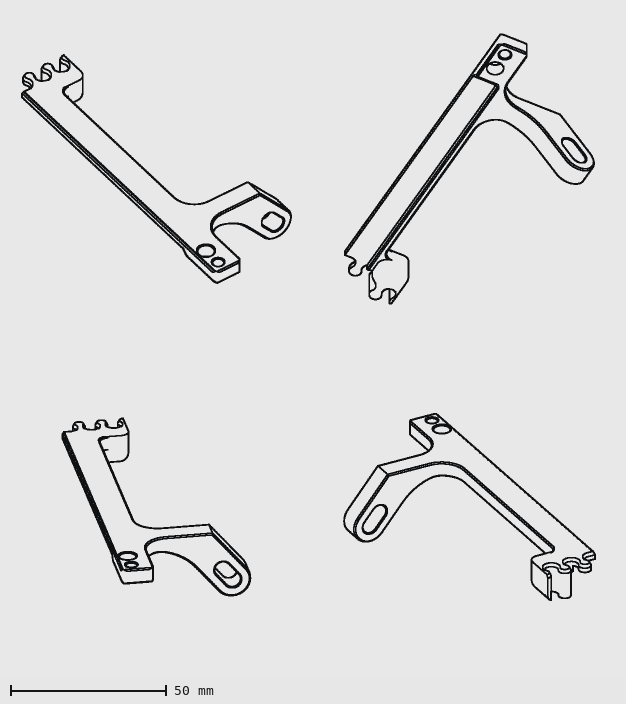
import cadquery as cq
import math

length = 112.6
plate_width = 10.5
plate_thickness = 5.1
edge_chamfer = 0.5
end_corner_radius = 2.0

head_back = 20.8
head_length = 13.2
head_corner_radius = 3.0
head_depth = 10.2
boss_front = 9.9
boss_round = 2.9
prong_radius = 2.0
prong_pitch = 7.3
prong_count = 3
notch_x = 4.3
lead_in_width = 0.6
lead_in_depth = 1.1

relief_depth = 2.7
relief_width = 8.3
relief_end = 94.0
relief_slope_run = plate_thickness - relief_depth

arm_left = 83.3
arm_width = 7.4
arm_root_radius = 7.9
arm_angle = math.radians(50)
arm_end_y = 40.1
arm_end_z = -16.9
arm_end_radius = 5.9
arm_under_radius = 18.6
slot_radius = 2.6
slot_travel = 5.1
slot_chamfer = 0.3

hole_y = 3.7
end_holes = [(102.1, 2.7), (108.7, 1.8)]
hole_chamfer = 0.3

tolerance = 0.01

arm_right = arm_left + arm_width
arm_reach = arm_end_y + arm_end_radius
arm_drop = arm_end_radius - arm_end_z
half_pitch = prong_pitch / 2
prong_y = [head_back - i * prong_pitch for i in range(prong_count)]
centre_distance = math.hypot(notch_x - prong_radius, half_pitch)
notch_radius = centre_distance - prong_radius
blend_x = prong_radius + (notch_x - prong_radius) * prong_radius / centre_distance
blend_dy = half_pitch * prong_radius / centre_distance
notch_right = notch_x + notch_radius
last_notch_y = prong_y[-1] - half_pitch


def point_on_circle(x, y, radius, angle):
    return (x + radius * math.cos(angle), y + radius * math.sin(angle))


def plan_outline():
    """Outline from above: plate, fork head with its prongs, and arm."""
    half_prong_middle = (math.atan2(-half_pitch, notch_x - prong_radius) - math.pi) / 2
    last_notch_middle = math.atan2(half_pitch, prong_radius - notch_x) / 2
    outline = (
        cq.Workplane("XY")
        .moveTo(prong_radius, head_back)
        .lineTo(0.0, head_back)
        .threePointArc(
            point_on_circle(prong_radius, head_back, prong_radius, half_prong_middle),
            (blend_x, head_back - blend_dy),
        )
    )
    for y in prong_y[1:]:
        outline = outline.threePointArc((notch_right, y + half_pitch), (blend_x, y + blend_dy))
        outline = outline.threePointArc((0.0, y), (blend_x, y - blend_dy))
    outline = outline.threePointArc(
        point_on_circle(notch_x, last_notch_y, notch_radius, last_notch_middle),
        (notch_right, last_notch_y),
    )
    return (
        outline.lineTo(notch_right, 0.0)
        .lineTo(length, 0.0)
        .lineTo(length, plate_width)
        .lineTo(arm_right, plate_width)
        .lineTo(arm_right, arm_reach)
        .lineTo(arm_left, arm_reach)
        .lineTo(arm_left, plate_width)
        .lineTo(head_length, plate_width)
        .lineTo(head_length, head_back)
        .close()
    )


def nearest(body, *points):
    """The edge of the body closest to each of the given points."""
    edges = []
    for point in points:
        edges += body.edges(cq.selectors.NearestToPointSelector(point)).objects
    return body.newObject(edges)


def plan_prism():
    """Plan outline as a tall prism with the arm and head corners rounded."""
    body = plan_outline().extrude(-arm_drop)
    for x, y, radius in [
        (arm_left, plate_width, arm_root_radius),
        (arm_right, plate_width, arm_root_radius),
        (head_length, plate_width, head_corner_radius),
        (head_length, head_back, head_corner_radius),
    ]:
        body = nearest(body, (x, y, -arm_drop / 2)).fillet(radius)
    return body


def side_prism():
    """Side profile: flat plate running into the arm that slopes down."""
    along_y, along_z = math.cos(arm_angle), -math.sin(arm_angle)
    top_y = arm_end_y + arm_end_radius * math.sin(arm_angle)
    top_z = arm_end_z + arm_end_radius * math.cos(arm_angle)
    low_y = arm_end_y - arm_end_radius * math.sin(arm_angle)
    low_z = arm_end_z - arm_end_radius * math.cos(arm_angle)
    bend_y = top_y + top_z / math.tan(arm_angle)
    under_y = low_y - (low_z + plate_thickness) / along_z * along_y
    tangent = arm_under_radius * math.tan(arm_angle / 2)
    arc_y = under_y - tangent
    arc_z = -plate_thickness - arm_under_radius
    return (
        cq.Workplane("YZ")
        .moveTo(0.0, 0.0)
        .lineTo(bend_y, 0.0)
        .lineTo(top_y, top_z)
        .threePointArc(
            point_on_circle(arm_end_y, arm_end_z, arm_end_radius, -arm_angle),
            (low_y, low_z),
        )
        .lineTo(under_y + tangent * along_y, -plate_thickness + tangent * along_z)
        .threePointArc(
            point_on_circle(arc_y, arc_z, arm_under_radius, (math.pi - arm_angle) / 2),
            (arc_y, -plate_thickness),
        )
        .lineTo(0.0, -plate_thickness)
        .close()
        .extrude(length)
    )


def relief():
    """Cutter for the relief under the front, with its inner slope corner bevelled."""
    cutter = (
        cq.Workplane("XZ")
        .moveTo(0.0, -relief_depth)
        .lineTo(relief_end, -relief_depth)
        .lineTo(relief_end + relief_slope_run, -plate_thickness)
        .lineTo(0.0, -plate_thickness)
        .close()
        .extrude(-relief_width)
    )
    return nearest(cutter, slope_middle(relief_width)).chamfer(edge_chamfer)


def slope_middle(y):
    """Middle of the relief's end slope at the given y."""
    return (relief_end + relief_slope_run / 2, y, -(relief_depth + plate_thickness) / 2)


def boss():
    """Deep block under the fork head with rounded corners and bottom."""
    block = cq.Workplane("XY").box(head_length, head_back - boss_front, head_depth, centered=False)
    block = block.translate((0, boss_front, -head_depth))
    block = block.edges("|Z and >X").fillet(head_corner_radius)
    left = nearest(block, (0, (boss_front + head_back) / 2, -head_depth)).val()
    edges = [e for e in block.faces("<Z").edges().objects if not e.isSame(left)]
    return block.newObject(edges).fillet(boss_round)


def rim(body):
    """Edges where the side walls meet the top, the underside and the arm faces.

    The fork and the underside of the head are left out.
    """
    chosen = []
    for edge in body.edges("not |Z").objects:
        middle = edge.Center()
        box = edge.BoundingBox()
        on_fork = box.xmax < notch_right + tolerance
        under_head = box.xmax < head_length + tolerance and box.zmax < -relief_depth
        across_arm = box.ylen < tolerance and middle.y > plate_width + tolerance and middle.x > head_length
        if not (on_fork or under_head or across_arm):
            chosen.append(edge)
    return body.newObject(chosen)


def fork_rim(body):
    """Upper edges of the prongs and notches."""
    edges = body.faces(">Z").edges().objects
    return body.newObject([e for e in edges if e.BoundingBox().xmax < notch_right + tolerance])


def end_corners():
    """Cutter that rounds the two vertical corners at the +X end."""
    sharp = cq.Workplane("XY").box(plate_width, plate_width, 2 * plate_thickness)
    rounded = sharp.edges("|Z and >X").fillet(end_corner_radius)
    return sharp.cut(rounded).translate((length - plate_width / 2, plate_width / 2, 0))


def drill_end_hole(body, x, radius):
    """Through hole with both rims chamfered."""
    body = body.cut(cq.Workplane("XY", origin=(x, hole_y, 0)).circle(radius).extrude(-plate_thickness))
    rim_y = hole_y - radius
    return nearest(body, (x, rim_y, 0), (x, rim_y, -plate_thickness)).chamfer(hole_chamfer)


def cut_arm_slot(body):
    """Slot through the arm, running along its slope, with both rims chamfered."""
    slot = (
        cq.Workplane("YZ", origin=(arm_left, arm_end_y, arm_end_z))
        .transformed(rotate=(0, 0, -math.degrees(arm_angle)))
        .center(-slot_travel / 2, 0)
        .slot2D(slot_travel + 2 * slot_radius, 2 * slot_radius)
        .extrude(arm_width)
    )
    body = body.cut(slot)
    side_y = arm_end_y - slot_travel / 2 * math.cos(arm_angle) + slot_radius * math.sin(arm_angle)
    side_z = arm_end_z + slot_travel / 2 * math.sin(arm_angle) + slot_radius * math.cos(arm_angle)
    rims = nearest(body, (arm_left, side_y, side_z), (arm_right, side_y, side_z))
    return rims.chamfer(slot_chamfer)


prism = plan_prism()
body = prism.intersect(side_prism())
body = rim(body).chamfer(edge_chamfer)
body = body.union(boss().intersect(prism)).cut(relief())
body = fork_rim(body).chamfer(lead_in_width, lead_in_depth)

body = nearest(
    body,
    (length / 2, relief_width, -plate_thickness),
    (length / 2, 0, -relief_depth),
    slope_middle(0),
).chamfer(edge_chamfer)

body = body.cut(end_corners())
for x, radius in end_holes:
    body = drill_end_hole(body, x, radius)
result = cut_arm_slot(body)